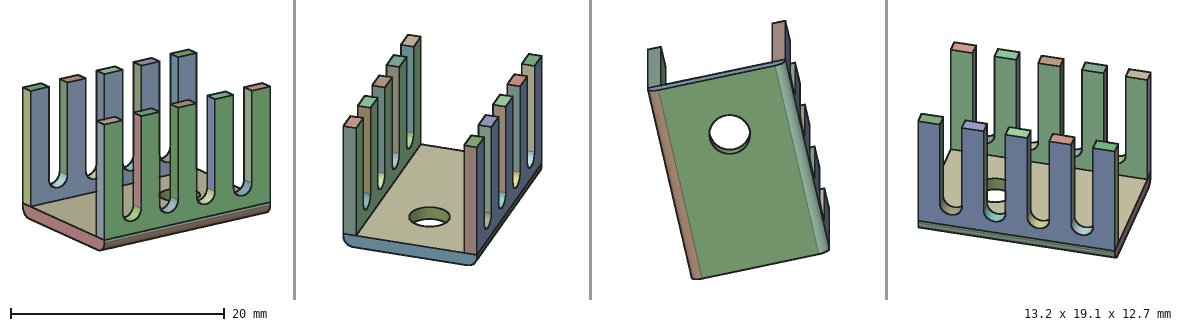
import cadquery as cq

width = 13.2
length = 19.05
height = 12.7
thickness = 1.28

corner_radius = 1.01
hole_diameter = 3.81
hole_y = 3.81

slot_count = 4
slot_width = length / (2 * slot_count + 1)
slot_pitch = 2 * slot_width
slot_bottom_z = 2.53


def make_base():
    """Flat plate with rounded lower long edges and a mounting hole."""
    plate = cq.Workplane("XY").box(width, length, thickness, centered=(True, True, False))
    plate = plate.edges("|Y and <Z").fillet(corner_radius)
    hole = cq.Workplane("XY").center(0, hole_y).circle(hole_diameter / 2).extrude(thickness)
    return plate.cut(hole)


def make_slot(y):
    """Cutter for one round-bottomed slot, open at the top of a wall."""
    radius = slot_width / 2
    arc_z = slot_bottom_z + radius
    return (
        cq.Workplane("YZ")
        .moveTo(y - radius, height)
        .lineTo(y - radius, arc_z)
        .threePointArc((y, slot_bottom_z), (y + radius, arc_z))
        .lineTo(y + radius, height)
        .close()
        .extrude(thickness / 2, both=True)
    )


def make_wall(x):
    """Upright comb wall centred on x, standing on the base."""
    wall = (
        cq.Workplane("XY")
        .workplane(offset=thickness)
        .box(thickness, length, height - thickness, centered=(True, True, False))
    )
    for index in range(slot_count):
        wall = wall.cut(make_slot((index - (slot_count - 1) / 2) * slot_pitch))
    return wall.translate((x, 0, 0))


base = make_base()
wall_x = (width - thickness) / 2
walls = [make_wall(side * wall_x) for side in (-1, 1)]

result = cq.Compound.makeCompound([base.val(), *[wall.val() for wall in walls]])